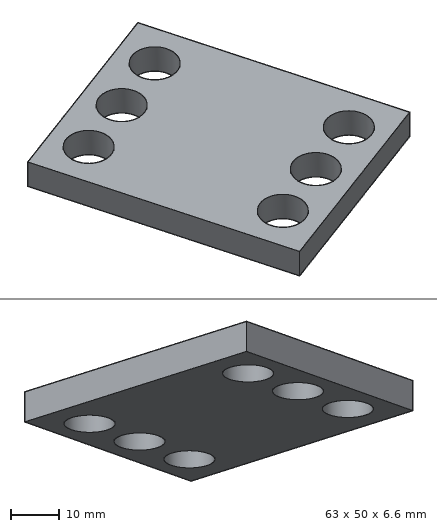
import cadquery as cq

length = 63.0
width = 50.0
thickness = 6.6

hole_diameter = 10.5
column_spacing = 45.0
row_spacing = 15.0
column_count = 2
row_count = 3

plate = cq.Workplane("XY").box(length, width, thickness)

result = (
    plate.faces(">Z")
    .workplane()
    .rarray(column_spacing, row_spacing, column_count, row_count)
    .hole(hole_diameter)
)